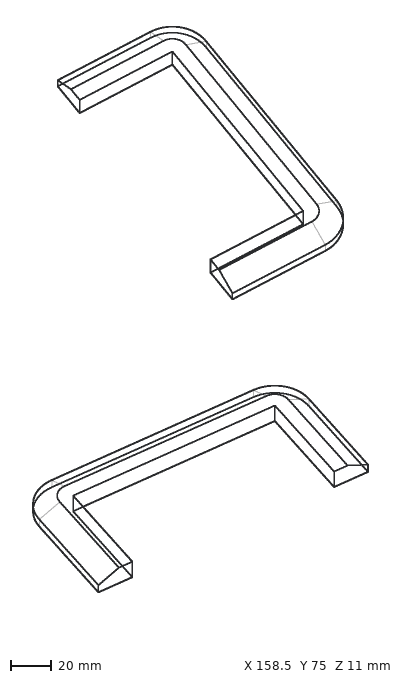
import cadquery as cq

length = 158.5
depth = 75.0
height = 11.0

bar_width = 20.0
flat_width = 8.0
outer_wall_height = 5.0

inner_x = length / 2 - bar_width
inner_y = depth / 2 - bar_width
open_end_y = -depth / 2
leg_length = inner_y - open_end_y


def bar_section(plane):
    """Bar profile: local x points outward from the inner wall, local y points up."""
    return (
        cq.Workplane(plane)
        .moveTo(0, 0)
        .lineTo(bar_width, 0)
        .lineTo(bar_width, outer_wall_height)
        .lineTo(flat_width, height)
        .lineTo(0, height)
        .close()
    )


def right_leg():
    """Straight leg running from the open end to the inner corner."""
    plane = cq.Plane(origin=(inner_x, inner_y, 0), xDir=(1, 0, 0), normal=(0, -1, 0))
    return bar_section(plane).extrude(leg_length)


def right_corner():
    """Quarter turn of the bar about the vertical line at the inner corner."""
    plane = cq.Plane(origin=(inner_x, inner_y, 0), xDir=(1, 0, 0), normal=(0, -1, 0))
    return bar_section(plane).revolve(90, (0, 0), (0, 1))


def back_bar():
    """Straight bar joining the two corners."""
    plane = cq.Plane(origin=(-inner_x, inner_y, 0), xDir=(0, 1, 0), normal=(1, 0, 0))
    return bar_section(plane).extrude(2 * inner_x)


right_side = right_leg().union(right_corner())
left_side = right_side.mirror("YZ")
result = back_bar().union(right_side).union(left_side)